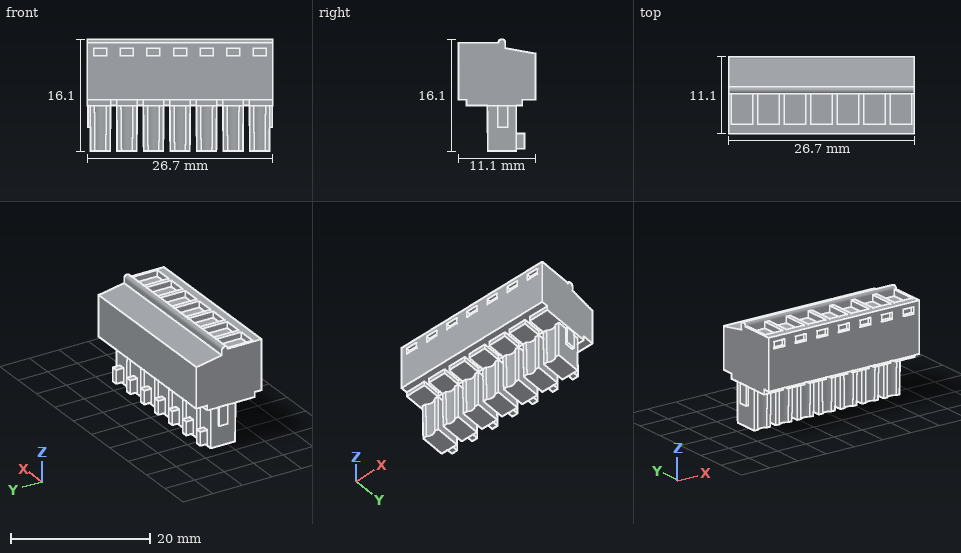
import cadquery as cq


WAYS = 7
PITCH = 3.81
LENGTH = 26.67
WAY_CENTRES = [(i - (WAYS - 1) / 2) * PITCH for i in range(WAYS)]

DEPTH = 11.1
HEIGHT = 16.1
SHOULDER_Z = 7.35
LIP_Z = 6.55
LIP_FRONT_Y = 1.15
LIP_BACK_Y = 9.17
RIDGE_RADIUS = 0.5
RIDGE_FRONT_Y = 5.73
RIDGE_BACK_Y = RIDGE_FRONT_Y + 2 * RIDGE_RADIUS
TOP_Z = HEIGHT - RIDGE_RADIUS
SLOPE_TOP_Z = 14.83
SLOPE_BOTTOM_Z = 14.1
LEDGE_WIDTH = 0.37

POCKET_WIDTH = 3.12
POCKET_FRONT_Y = 1.33
POCKET_LENGTH = RIDGE_FRONT_Y - POCKET_FRONT_Y
POCKET_DEPTH = 1.01
TERMINAL_HEIGHT = 4.0
TERMINAL_TOP_Z = TOP_Z - POCKET_DEPTH
TERMINAL_BOTTOM_Z = TERMINAL_TOP_Z - TERMINAL_HEIGHT

WINDOW_WIDTH = 1.87
WINDOW_HEIGHT = 1.07
WINDOW_DEPTH = 0.61
WINDOW_TOP_GAP = 0.8
WINDOW_BOTTOM_Z = TOP_Z - WINDOW_TOP_GAP - WINDOW_HEIGHT

PRONG_TIP_WIDTH = 2.85
PRONG_TIP_FRONT_Y = 4.21
PRONG_BACK_Y = 8.32
SIDE_DRAFT = 0.05
FRONT_DRAFT = 0.08
PRONG_ROOT_WIDTH = PRONG_TIP_WIDTH + 2 * SIDE_DRAFT
PRONG_ROOT_FRONT_Y = PRONG_TIP_FRONT_Y - FRONT_DRAFT

SCOOP_RADIUS = 1.17
SCOOP_DEPTH = 0.37

LATCH_WIDTH = 1.01
LATCH_LENGTH = 1.2
LATCH_BOTTOM_Z = 0.32
LATCH_HEIGHT = 2.25

RIB_OUTER_X = 13.25
RIB_FRONT_Y = 5.65
RIB_WIDTH = 1.47
RIB_BOTTOM_Z = 3.45


def box(x, y, z, dx, dy, dz):
    """Block centred on x, starting at y and z."""
    return cq.Workplane("XY").box(dx, dy, dz, centered=(True, False, False)).translate((x, y, z))


def housing_shell():
    """Main profile with the lip, ridge and slope, extruded along the row."""
    return (
        cq.Workplane("YZ", origin=(-LENGTH / 2, 0, 0))
        .moveTo(0, SHOULDER_Z)
        .lineTo(0, TOP_Z)
        .lineTo(RIDGE_FRONT_Y, TOP_Z)
        .threePointArc((RIDGE_FRONT_Y + RIDGE_RADIUS, HEIGHT), (RIDGE_BACK_Y, TOP_Z))
        .lineTo(RIDGE_BACK_Y, SLOPE_TOP_Z)
        .lineTo(DEPTH - LEDGE_WIDTH, SLOPE_BOTTOM_Z)
        .lineTo(DEPTH, SLOPE_BOTTOM_Z)
        .lineTo(DEPTH, SHOULDER_Z)
        .lineTo(LIP_BACK_Y, SHOULDER_Z)
        .lineTo(LIP_BACK_Y, LIP_Z)
        .lineTo(LIP_FRONT_Y, LIP_Z)
        .lineTo(LIP_FRONT_Y, SHOULDER_Z)
        .close()
        .extrude(LENGTH)
    )


def pocket(x):
    """Cavity for a terminal block, open at the top."""
    return box(x, POCKET_FRONT_Y, TERMINAL_BOTTOM_Z, POCKET_WIDTH, POCKET_LENGTH, TOP_Z - TERMINAL_BOTTOM_Z)


def window(x):
    """Shallow rectangular recess in the front face."""
    return box(x, 0, WINDOW_BOTTOM_Z, WINDOW_WIDTH, WINDOW_DEPTH, WINDOW_HEIGHT)


def lip_notch(x):
    """Gap in the front of the lip between two neighbouring prongs."""
    width = PITCH - PRONG_ROOT_WIDTH
    return box(x, LIP_FRONT_Y, LIP_Z, width, PRONG_ROOT_FRONT_Y - LIP_FRONT_Y, SHOULDER_Z - LIP_Z)


def prong(x):
    """Drafted prong with its front scoop and its latch block."""
    tip_length = PRONG_BACK_Y - PRONG_TIP_FRONT_Y
    root_length = PRONG_BACK_Y - PRONG_ROOT_FRONT_Y
    blade = (
        cq.Workplane("XY")
        .center(x, PRONG_BACK_Y - tip_length / 2)
        .rect(PRONG_TIP_WIDTH, tip_length)
        .workplane(offset=LIP_Z)
        .center(0, (tip_length - root_length) / 2)
        .rect(PRONG_ROOT_WIDTH, root_length)
        .loft(ruled=True)
    )
    scoop_axis_y = PRONG_ROOT_FRONT_Y + SCOOP_DEPTH - SCOOP_RADIUS
    scoop = cq.Workplane("XY").center(x, scoop_axis_y).circle(SCOOP_RADIUS).extrude(LIP_Z)
    latch = box(x, PRONG_BACK_Y, LATCH_BOTTOM_Z, LATCH_WIDTH, LATCH_LENGTH, LATCH_HEIGHT)
    return blade.cut(scoop).union(latch)


def guide_rib(side):
    """Rib on the outer side of an end prong, rooted in its draft; side is -1 or +1."""
    inner_x = WAY_CENTRES[-1] + PRONG_TIP_WIDTH / 2
    centre_x = side * (RIB_OUTER_X + inner_x) / 2
    return box(centre_x, RIB_FRONT_Y, RIB_BOTTOM_Z, RIB_OUTER_X - inner_x, RIB_WIDTH, LIP_Z - RIB_BOTTOM_Z)


def make_housing():
    """Housing with its pockets, windows, prongs, lip notches and guide ribs."""
    body = housing_shell()
    for x in WAY_CENTRES:
        body = body.cut(pocket(x)).cut(window(x)).union(prong(x))
    for x in WAY_CENTRES[:-1]:
        body = body.cut(lip_notch(x + PITCH / 2))
    for side in (-1, 1):
        body = body.union(guide_rib(side))
    return body


def make_terminal(x):
    """Block that fills the lower part of one pocket."""
    return box(x, POCKET_FRONT_Y, TERMINAL_BOTTOM_Z, POCKET_WIDTH, POCKET_LENGTH, TERMINAL_HEIGHT)


housing = make_housing()
terminals = [make_terminal(x) for x in WAY_CENTRES]

result = cq.Compound.makeCompound([housing.solids().val(), *[terminal.val() for terminal in terminals]])